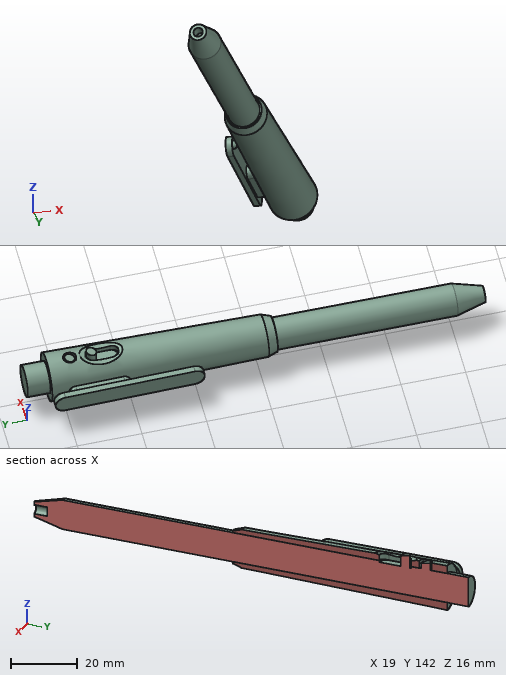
import cadquery as cq
import math


LENGTH = 142.0
STEM_RADIUS = 5.0
TIP_RADIUS = 2.5
NOSE_LENGTH = 9.2
TIP_HOLE_RADIUS = 1.4
TIP_HOLE_DEPTH = 4.3

PIN_RADIUS = 1.5
PIN_SLOPE = 13.0
PIN_ROOT = STEM_RADIUS / 2
CONTROL_PIN_Y = 121.3
CONTROL_PIN_TOP = 8.5
CATCH_PIN_Y = 128.0
CATCH_PIN_TOP = 7.4

SLEEVE_REAR = 135.0
SLEEVE_REAR_RADIUS = 7.5
SLEEVE_TAPER_END = 67.9
SLEEVE_TAPER_RADIUS = 6.5
SLEEVE_FRONT = 64.9
SLEEVE_FRONT_RADIUS = 5.5

SLOT_Y = 118.0
SLOT_RADIUS = 2.1
SLOT_LENGTH = 10.2
SLOT_FLOOR = 4.4
DISH_RADIUS = 19.2
DISH_FLOOR = 6.1
CATCH_HOLE_RADIUS = 2.0

CLIP_REACH = 11.5
CLIP_LENGTH = 46.3
CLIP_WIDTH = 6.1
CLIP_THICKNESS = 2.0
CLIP_TILT = math.degrees(math.atan2(0.7, CLIP_LENGTH))
MOUNT_Y = 120.4
MOUNT_LENGTH = 19.0
MOUNT_WIDTH = 4.1
MOUNT_OUTER_X = -10.0
BUMP_RADIUS = 1.3
BUMP_FROM_END = 1.7


def turned(profile):
    """Solid of revolution about Y from (radius, Y) points."""
    return cq.Workplane("XY").polyline(profile).close().revolve(360, (0, 0), (0, 1))


def make_slot(floor):
    """Cutter for the long slot, reaching up from the given height."""
    return (
        cq.Workplane("XY", origin=(0, SLOT_Y, floor))
        .slot2D(SLOT_LENGTH, 2 * SLOT_RADIUS, 90)
        .extrude(SLEEVE_REAR_RADIUS)
    )


def make_stem():
    body = turned([
        (0, 0),
        (TIP_RADIUS, 0),
        (STEM_RADIUS, NOSE_LENGTH),
        (STEM_RADIUS, LENGTH),
        (0, LENGTH),
    ])
    tip_hole = cq.Workplane("XZ").circle(TIP_HOLE_RADIUS).extrude(-TIP_HOLE_DEPTH)
    control_pin = make_pin(CONTROL_PIN_Y, CONTROL_PIN_TOP)
    catch_pin = make_pin(CATCH_PIN_Y, CATCH_PIN_TOP)
    return body.cut(tip_hole).cut(make_slot(SLOT_FLOOR)).union(control_pin).union(catch_pin)


def make_pin(y, top):
    front = y - PIN_RADIUS
    rear = y + PIN_RADIUS
    drop = (rear - front) * math.tan(math.radians(PIN_SLOPE))
    side_profile = [
        (front, PIN_ROOT),
        (rear, PIN_ROOT),
        (rear, top),
        (front, top - drop),
    ]
    wedge = cq.Workplane("YZ").polyline(side_profile).close().extrude(PIN_RADIUS, both=True)
    rod = cq.Workplane("XY").center(0, y).circle(PIN_RADIUS).extrude(top)
    return rod.intersect(wedge)


def make_sleeve_blank():
    """Sleeve outside, without its bore or openings."""
    return turned([
        (0, SLEEVE_FRONT),
        (SLEEVE_FRONT_RADIUS, SLEEVE_FRONT),
        (SLEEVE_TAPER_RADIUS, SLEEVE_TAPER_END),
        (SLEEVE_REAR_RADIUS, SLEEVE_REAR),
        (0, SLEEVE_REAR),
    ])


def make_sleeve():
    bore = cq.Workplane("XZ").circle(STEM_RADIUS).extrude(-LENGTH)
    dish = (
        cq.Workplane("YZ").center(SLOT_Y, DISH_FLOOR + DISH_RADIUS)
        .circle(DISH_RADIUS)
        .extrude(SLEEVE_REAR_RADIUS, both=True)
    )
    catch_hole = (
        cq.Workplane("XY").center(0, CATCH_PIN_Y)
        .circle(CATCH_HOLE_RADIUS)
        .extrude(SLEEVE_REAR_RADIUS)
    )
    return make_sleeve_blank().cut(bore).cut(make_slot(0)).cut(dish).cut(catch_hole)


def make_clip():
    plate_center_y = SLEEVE_REAR - CLIP_LENGTH / 2
    plate = (
        cq.Workplane("YZ", origin=(-CLIP_REACH, plate_center_y, 0))
        .slot2D(CLIP_LENGTH, CLIP_WIDTH)
        .extrude(CLIP_THICKNESS)
    )
    bump_y = SLEEVE_REAR - CLIP_LENGTH + BUMP_FROM_END
    bump = cq.Workplane("XY").sphere(BUMP_RADIUS).translate((CLIP_THICKNESS - CLIP_REACH, bump_y, 0))
    rear_corner = (-CLIP_REACH, SLEEVE_REAR, 0)
    above_corner = (-CLIP_REACH, SLEEVE_REAR, 1)
    tilted_plate = plate.union(bump).rotate(rear_corner, above_corner, CLIP_TILT)
    mount = (
        cq.Workplane("YZ", origin=(MOUNT_OUTER_X, MOUNT_Y, 0))
        .slot2D(MOUNT_LENGTH, MOUNT_WIDTH)
        .extrude(-MOUNT_OUTER_X)
        .cut(make_sleeve_blank())
    )
    return tilted_plate.union(mount)


stem = make_stem()
sleeve = make_sleeve()
clip = make_clip()

result = cq.Compound.makeCompound([stem.val(), sleeve.val(), clip.val()])